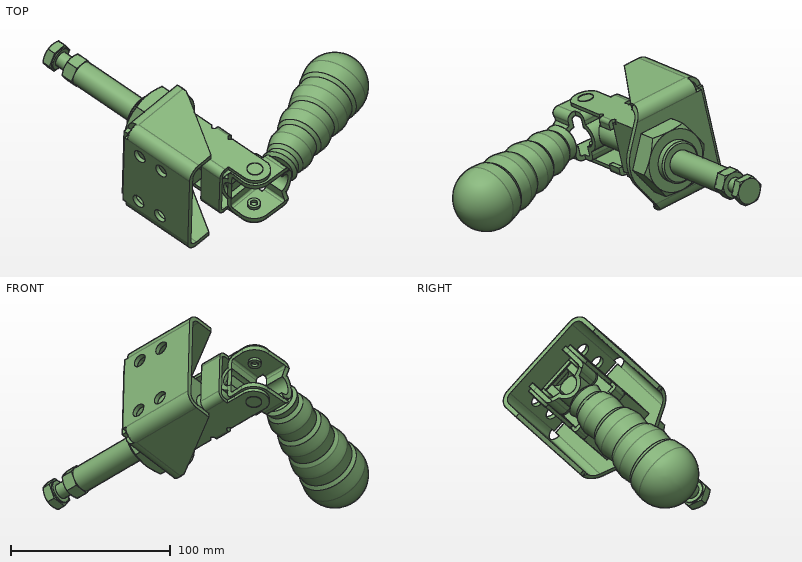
import cadquery as cq
import math


TURN_X = 55.6
TURN_Y = -25.8
TURN_Z = -34.1

SHEET = 3.0
BRACKET_HALF_WIDTH = 37.3
BEND_RADIUS = 8.4
PLATE_TOP = 42.0
PLATE_START = 4.0
BRACKET_END = 58.5
FRONT_PLATE_TOP = 38.2
FRONT_ROUND_RADIUS = 25.5
FRONT_TAPER = 30.0
FLANGE_BOTTOM = -7.8
FLANGE_FOOT_END = 11.2
FLANGE_TAIL_BOTTOM = 22.0
CORNER_RELIEF = 6.5
CORNER_RELIEF_BOTTOM = 34.3
HOLE_DIAMETER = 9.0
HOLE_START = 17.0
HOLE_PITCH_X = 18.0
HOLE_PITCH_Y = 41.8

CHANNEL_SHEET = 2.5
CHANNEL_HALF_WIDTH = 19.5
CHANNEL_BOTTOM = -9.4
EAR_RADIUS = 9.8
PIVOT_X = 76.1
STRAP_START = 47.3
STRAP_END = 62.6
STRAP_TOP = 17.8
STRAP_BEND_RADIUS = 4.9
GUIDE_END = 35.0
GUIDE_TOP = 18.4
TAB_START = 35.0
TAB_END = 45.5
TAB_DROP = 2.9
TAB_WIDTH = 6.1
NOTCH_RADIUS = 1.6

PLUNGER_DIAMETER = 16.5
PLUNGER_START = -68.8
PLUNGER_END = 63.3
LOCK_NUT_START = -77.3
LOCK_NUT_FLATS = 16.7
STUD_DIAMETER = 10.0
BOLT_START = -93.5
BOLT_HEAD_LENGTH = 6.1
WASHER_FACE_DIAMETER = 15.0
WASHER_FACE_LENGTH = 1.0
SLEEVE_START = -19.5
SLEEVE_DIAMETER = 27.3
SLEEVE_CHAMFER = 1.0
MOUNT_NUT_START = -14.3
MOUNT_NUT_FLATS = 41.2

CLIP_SHEET = 3.3
CLIP_HALF_WIDTH = CHANNEL_HALF_WIDTH - CHANNEL_SHEET
CLIP_BOTTOM = -18.8
CLIP_BEND_RADIUS = 4.9
CLIP_EAR_RADIUS = 11.5
CLIP_WEB_START = 72.0
CLIP_WEB_END = 88.5
CLIP_LEFT = 63.3
CLIP_TOP = 10.6
CLIP_UPRIGHT_BOTTOM = -12.2
GROOVE_RADIUS = 6.7
MOUTH_DEPTH = 4.0

RIVET_HEAD_DIAMETER = 10.0
RIVET_SHANK_DIAMETER = 8.2
RIVET_HEAD = 0.5
RIVET_INNER = 11.8
RIVET_BORE_DIAMETER = 4.5
RIVET_BORE_DEPTH = 4.0

HANDLE_TILT = 15.0
HANDLE_X = 77.0
HANDLE_Z = -16.3
FERRULE_START = 7.5
FERRULE_RADIUS = 12.2
FERRULE_CHAMFER = 2.0
FIRST_NOTCH = 14.5
FIRST_NOTCH_RADIUS = 10.8
RING_PITCH = 19.8
RING_SHOULDER = 2.7
RING_CROWN = 11.0
RING_RADII = [(12.7, 14.7, 13.5), (15.3, 17.1, 16.0), (17.5, 19.4, 18.4)]
KNOB_SHOULDER_RADIUS = 20.0
KNOB_SWELL_RADIUS = 20.8
KNOB_SWELL = 7.1
KNOB_CENTER = 12.2
KNOB_RADIUS = 21.2


def box(x0, x1, y0, y1, z0, z1):
    return cq.Workplane("XY").box(x1 - x0, y1 - y0, z1 - z0, centered=False).translate((x0, y0, z0))


def rod(x0, x1, diameter):
    """A bar along the plunger axis."""
    return cq.Workplane("YZ").workplane(offset=x0).circle(diameter / 2).extrude(x1 - x0)


def hexagon(x0, x1, flats):
    """A hexagon bar along the plunger axis, corners up and down, front corners turned off."""
    corners = flats / math.cos(math.pi / 6)
    bar = cq.Workplane("YZ").workplane(offset=x0).polygon(6, corners).extrude(x1 - x0)
    bar = bar.rotate((0, 0, 0), (1, 0, 0), 90)
    turned_off = (corners - flats) / 2
    envelope = rod(x0, x1, corners).faces("<X").chamfer(turned_off * math.tan(math.pi / 6), turned_off)
    return bar.intersect(envelope)


def side_profile(points):
    """An outline in the x-z plane as a slab across the whole clamp."""
    reach = 2 * BRACKET_HALF_WIDTH
    return cq.Workplane("XZ").polyline(points).close().extrude(reach, both=True)


def folded_block(x0, x1, half, z0, z1, radius):
    """A block whose long top edges and upright front edges are rounded like sheet bends."""
    along = box(x0, x1, -half, half, z0, z1).edges("|X and >Z").fillet(radius)
    upright = box(x0, x1, -half, half, z0, z1).edges("|Z and <X").fillet(radius)
    return along.intersect(upright)


def bracket():
    half = BRACKET_HALF_WIDTH
    low = -2 * FRONT_ROUND_RADIUS
    outer = folded_block(0, BRACKET_END, half, low, PLATE_TOP, BEND_RADIUS)
    inner = folded_block(SHEET, BRACKET_END, half - SHEET, low, PLATE_TOP - SHEET, BEND_RADIUS - SHEET)
    shell = outer.cut(inner)

    sides = side_profile([
        (0, low),
        (BEND_RADIUS, low),
        (BEND_RADIUS, FLANGE_BOTTOM),
        (FLANGE_FOOT_END, FLANGE_BOTTOM),
        (BRACKET_END, FLANGE_TAIL_BOTTOM),
        (BRACKET_END, PLATE_TOP),
        (0, PLATE_TOP),
    ])
    taper = math.radians(FRONT_TAPER)
    tangent_y = FRONT_ROUND_RADIUS * math.sin(taper)
    tangent_z = -FRONT_ROUND_RADIUS * math.cos(taper)
    edge_z = tangent_z + (half - tangent_y) * math.tan(taper)
    front = (
        cq.Workplane("YZ")
        .moveTo(-half, PLATE_TOP)
        .lineTo(-half, edge_z)
        .lineTo(-tangent_y, tangent_z)
        .threePointArc((0, -FRONT_ROUND_RADIUS), (tangent_y, tangent_z))
        .lineTo(half, edge_z)
        .lineTo(half, PLATE_TOP)
        .close()
        .extrude(BRACKET_END)
    )
    body = shell.intersect(sides).intersect(front)

    body = body.cut(box(0, PLATE_START, -half, half, FRONT_PLATE_TOP, PLATE_TOP))
    flat_half = half - BEND_RADIUS
    for y0 in (-half, flat_half):
        body = body.cut(box(0, CORNER_RELIEF, y0, y0 + BEND_RADIUS, CORNER_RELIEF_BOTTOM, PLATE_TOP))
    holes = (
        cq.Workplane("XY")
        .workplane(offset=PLATE_TOP - SHEET)
        .center(HOLE_START + HOLE_PITCH_X / 2, 0)
        .rarray(HOLE_PITCH_X, HOLE_PITCH_Y, 2, 2)
        .circle(HOLE_DIAMETER / 2)
        .extrude(SHEET)
    )
    return body.cut(holes)


def channel():
    half = CHANNEL_HALF_WIDTH
    outer = box(SHEET, PIVOT_X + EAR_RADIUS, -half, half, CHANNEL_BOTTOM, STRAP_TOP)
    outer = outer.edges("|X and >Z").fillet(STRAP_BEND_RADIUS)
    wall = half - CHANNEL_SHEET
    inner = box(SHEET, PIVOT_X + EAR_RADIUS, -wall, wall, CHANNEL_BOTTOM, STRAP_TOP - CHANNEL_SHEET)
    inner = inner.edges("|X and >Z").fillet(STRAP_BEND_RADIUS - CHANNEL_SHEET)
    ear_low_x = PIVOT_X + math.sqrt(EAR_RADIUS**2 - CHANNEL_BOTTOM**2)
    outline = (
        cq.Workplane("XZ")
        .moveTo(SHEET, CHANNEL_BOTTOM)
        .lineTo(ear_low_x, CHANNEL_BOTTOM)
        .threePointArc((PIVOT_X + EAR_RADIUS, 0), (PIVOT_X, EAR_RADIUS))
        .lineTo(STRAP_END, EAR_RADIUS)
        .lineTo(STRAP_END, STRAP_TOP)
        .lineTo(STRAP_START, STRAP_TOP)
        .lineTo(STRAP_START, EAR_RADIUS)
        .lineTo(SHEET, EAR_RADIUS)
        .close()
        .extrude(half, both=True)
    )
    body = outer.cut(inner).intersect(outline)
    for notch_x in (TAB_START - NOTCH_RADIUS, TAB_END + NOTCH_RADIUS):
        notch = cq.Workplane("XZ").center(notch_x, CHANNEL_BOTTOM).circle(NOTCH_RADIUS)
        body = body.cut(notch.extrude(half, both=True))

    tab = box(TAB_START, TAB_END, half - TAB_WIDTH, half, CHANNEL_BOTTOM - TAB_DROP, CHANNEL_BOTTOM)
    tab = tab.edges("|X and >Y and <Z").fillet(CHANNEL_SHEET)
    guide = box(SHEET, GUIDE_END, -wall, wall, CHANNEL_BOTTOM, GUIDE_TOP)
    return body.union(tab).union(tab.mirror("XZ")).union(guide)


def plunger():
    body = rod(PLUNGER_START, PLUNGER_END, PLUNGER_DIAMETER)
    bolt_head_end = BOLT_START + BOLT_HEAD_LENGTH
    body = body.union(hexagon(LOCK_NUT_START, PLUNGER_START, LOCK_NUT_FLATS))
    body = body.union(rod(bolt_head_end, LOCK_NUT_START, STUD_DIAMETER))
    body = body.union(rod(bolt_head_end, bolt_head_end + WASHER_FACE_LENGTH, WASHER_FACE_DIAMETER))
    body = body.union(hexagon(BOLT_START, bolt_head_end, LOCK_NUT_FLATS))
    body = body.union(rod(SLEEVE_START, SHEET, SLEEVE_DIAMETER).faces("<X").chamfer(SLEEVE_CHAMFER))
    return body.union(hexagon(MOUNT_NUT_START, 0, MOUNT_NUT_FLATS))


def clip_grooves(radius):
    """Bars along the middle of the upright web and of the bottom web."""
    upright = cq.Workplane("XY").workplane(offset=CLIP_BOTTOM).center(CLIP_LEFT + CLIP_SHEET, 0)
    upright = upright.circle(radius).extrude(CLIP_TOP - CLIP_BOTTOM)
    lower = cq.Workplane("YZ").workplane(offset=CLIP_LEFT).center(0, CLIP_BOTTOM + CLIP_SHEET)
    lower = lower.circle(radius).extrude(CLIP_WEB_END - CLIP_LEFT)
    return upright, lower


def clip_block(x0, half, z0, radius):
    """A block with rounded long bottom edges and rounded upright edges at its plunger end."""
    along = box(x0, CLIP_WEB_END, -half, half, z0, CLIP_EAR_RADIUS).edges("|X and <Z").fillet(radius)
    upright = box(x0, CLIP_WEB_END, -half, half, z0, CLIP_EAR_RADIUS).edges("|Z and <X").fillet(radius)
    return along.intersect(upright)


def clip():
    half = CLIP_HALF_WIDTH
    wall = half - CLIP_SHEET
    outer = clip_block(CLIP_LEFT, half, CLIP_BOTTOM, CLIP_BEND_RADIUS)
    inner = clip_block(CLIP_LEFT + CLIP_SHEET, wall, CLIP_BOTTOM + CLIP_SHEET, CLIP_BEND_RADIUS - CLIP_SHEET)

    upright_bead, lower_bead = clip_grooves(GROOVE_RADIUS + CLIP_SHEET)
    upright_groove, lower_groove = clip_grooves(GROOVE_RADIUS)
    beads = upright_bead.union(lower_bead).cut(inner)
    body = outer.union(beads).cut(inner).cut(upright_groove).cut(lower_groove)

    ear_diagonal = CLIP_EAR_RADIUS * math.sqrt(0.5)
    far_left = CLIP_LEFT - GROOVE_RADIUS
    outline = (
        cq.Workplane("XZ")
        .moveTo(far_left, CLIP_UPRIGHT_BOTTOM)
        .lineTo(CLIP_WEB_START, CLIP_UPRIGHT_BOTTOM)
        .lineTo(CLIP_WEB_START, 2 * CLIP_BOTTOM)
        .lineTo(CLIP_WEB_END, 2 * CLIP_BOTTOM)
        .lineTo(CLIP_WEB_END, CLIP_BOTTOM)
        .lineTo(PIVOT_X + CLIP_EAR_RADIUS, 0)
        .threePointArc((PIVOT_X + ear_diagonal, ear_diagonal), (PIVOT_X, CLIP_EAR_RADIUS))
        .lineTo(CLIP_LEFT, CLIP_TOP)
        .lineTo(far_left, CLIP_TOP)
        .close()
        .extrude(half, both=True)
    )
    mouth = (
        cq.Workplane("XY")
        .workplane(offset=2 * CLIP_BOTTOM)
        .moveTo(CLIP_WEB_END, -wall)
        .threePointArc((CLIP_WEB_END - MOUTH_DEPTH, 0), (CLIP_WEB_END, wall))
        .close()
        .extrude(-2 * CLIP_BOTTOM)
    )
    return body.intersect(outline).cut(mouth)


def rivet(side):
    """A rivet in one ear, headed outside the channel and bored from inside the clip."""

    def pin(y, diameter, length):
        start = cq.Plane(origin=(PIVOT_X, side * y, 0), xDir=(1, 0, 0), normal=(0, side, 0))
        return cq.Workplane(start).circle(diameter / 2).extrude(length)

    shank = pin(RIVET_INNER, RIVET_SHANK_DIAMETER, CHANNEL_HALF_WIDTH - RIVET_INNER)
    head = pin(CHANNEL_HALF_WIDTH, RIVET_HEAD_DIAMETER, RIVET_HEAD)
    bore = pin(RIVET_INNER, RIVET_BORE_DIAMETER, RIVET_BORE_DEPTH)
    return shank.union(head).cut(bore)


def handle():
    profile = (
        cq.Workplane("XY")
        .moveTo(0, FERRULE_START)
        .lineTo(FERRULE_RADIUS - FERRULE_CHAMFER, FERRULE_START)
        .lineTo(FERRULE_RADIUS, FERRULE_START + FERRULE_CHAMFER)
        .lineTo(FIRST_NOTCH_RADIUS, FIRST_NOTCH)
    )
    for i, (shoulder, crown, notch) in enumerate(RING_RADII):
        start = FIRST_NOTCH + i * RING_PITCH
        middle = (shoulder + 2 * crown) / 3
        middle_height = start + (RING_SHOULDER + RING_CROWN) / 2
        profile = profile.lineTo(shoulder, start + RING_SHOULDER)
        profile = profile.threePointArc((middle, middle_height), (crown, start + RING_CROWN))
        profile = profile.lineTo(notch, start + RING_PITCH)

    knob_start = FIRST_NOTCH + len(RING_RADII) * RING_PITCH
    knob_center = knob_start + KNOB_CENTER
    diagonal = KNOB_RADIUS * math.sqrt(0.5)
    profile = (
        profile.lineTo(KNOB_SHOULDER_RADIUS, knob_start + RING_SHOULDER)
        .threePointArc((KNOB_SWELL_RADIUS, knob_start + KNOB_SWELL), (KNOB_RADIUS, knob_center))
        .threePointArc((diagonal, knob_center + diagonal), (0, knob_center + KNOB_RADIUS))
    )
    grip = profile.close().revolve(360, (0, 0, 0), (0, 1, 0))
    grip = grip.rotate((0, 0, 0), (1, 0, 0), -90).rotate((0, 0, 0), (0, 1, 0), HANDLE_TILT)
    grip = grip.translate((HANDLE_X, 0, HANDLE_Z))

    lower_groove = clip_grooves(GROOVE_RADIUS)[1]
    return grip.cut(lower_groove)


clamp = bracket().union(channel()).union(plunger()).union(clip())
for side in (-1, 1):
    clamp = clamp.union(rivet(side))
clamp = clamp.union(handle())
result = (
    clamp.rotate((0, 0, 0), (1, 0, 0), TURN_X)
    .rotate((0, 0, 0), (0, 1, 0), TURN_Y)
    .rotate((0, 0, 0), (0, 0, 1), TURN_Z)
)